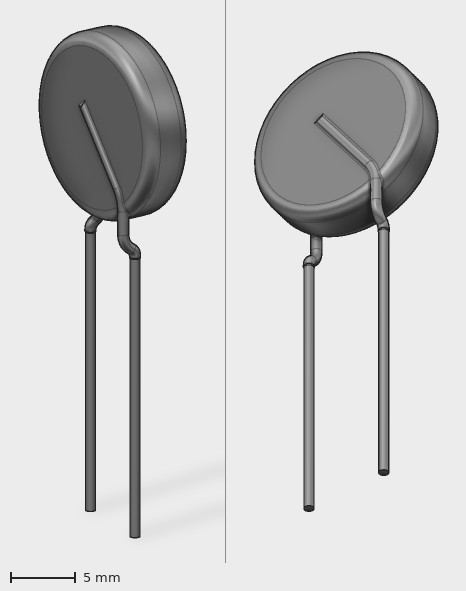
import cadquery as cq
import math

total_height = 40.0
total_depth = 4.5
disc_diameter = 15.0
disc_thickness = 4.0
disc_edge_radius = 1.0

wire_diameter = 0.8
coated_diameter = 0.9
wire_spacing = 1.32
lead_half_pitch = disc_diameter / 4

tail_angle = math.radians(37.5)
tail_end_x = -1.3
tail_bend_radius = 2.7
tail_bend_z = -5.8

s_bend_z = -7.72
s_bend_angle = math.radians(60)
upper_bend_radius = 1.55

coat_overlap = 0.2
coat_taper = 0.1

seam_fillet = 0.2
contact_tolerance = 0.0005

face_y = -disc_thickness / 2
coat_y = -(total_depth - coated_diameter) / 2
wire_y = -wire_spacing / 2
bottom_z = disc_diameter / 2 - total_height


def bend_travel(radius, angle):
    """Sideways and lengthwise travel along a bend that starts out straight."""
    return radius * (1 - math.cos(angle)), radius * math.sin(angle)


tail_bend_side, tail_bend_rise = bend_travel(tail_bend_radius, tail_angle)
tail_start = cq.Vector(lead_half_pitch - tail_bend_side, coat_y, tail_bend_z + tail_bend_rise)
tail_direction = cq.Vector(-math.sin(tail_angle), 0, math.cos(tail_angle))
tail_end_z = tail_start.z + (tail_start.x - tail_end_x) / math.tan(tail_angle)

upper_inward, upper_drop = bend_travel(upper_bend_radius, s_bend_angle)
lower_bend_radius = (wire_y - coat_y - upper_inward) / (1 - math.cos(s_bend_angle))
s_joint_z = s_bend_z - upper_drop
s_bottom_z = s_joint_z - lower_bend_radius * math.sin(s_bend_angle)
coat_bottom_z = s_bottom_z - coat_overlap


def make_disc():
    """Flat disc with rounded rims."""
    disc = cq.Workplane("XZ", origin=(0, -face_y, 0)).circle(disc_diameter / 2).extrude(disc_thickness)
    return disc.faces("|Y").edges().fillet(disc_edge_radius)


def lead_path():
    """Centre line of the coated wire, from the tail down to the end of the coating."""
    slope_reach = coat_y - face_y
    tail_end = cq.Vector(tail_end_x, coat_y, tail_end_z) + tail_direction * slope_reach

    tail_side, tail_rise = bend_travel(tail_bend_radius, tail_angle / 2)
    tail_middle = cq.Vector(lead_half_pitch - tail_side, coat_y, tail_bend_z + tail_rise)

    def upright_point(y, z):
        return cq.Vector(lead_half_pitch, y, z)

    upright_top = upright_point(coat_y, tail_bend_z)
    upright_bottom = upright_point(coat_y, s_bend_z)
    inward, drop = bend_travel(upper_bend_radius, s_bend_angle / 2)
    upper_middle = upright_point(coat_y + inward, s_bend_z - drop)
    s_joint = upright_point(coat_y + upper_inward, s_joint_z)
    outward, rise = bend_travel(lower_bend_radius, s_bend_angle / 2)
    lower_middle = upright_point(wire_y - outward, s_bottom_z + rise)
    s_bottom = upright_point(wire_y, s_bottom_z)

    return cq.Wire.assembleEdges([
        cq.Edge.makeLine(tail_end, tail_start),
        cq.Edge.makeThreePointArc(tail_start, tail_middle, upright_top),
        cq.Edge.makeLine(upright_top, upright_bottom),
        cq.Edge.makeThreePointArc(upright_bottom, upper_middle, s_joint),
        cq.Edge.makeThreePointArc(s_joint, lower_middle, s_bottom),
        cq.Edge.makeLine(s_bottom, upright_point(wire_y, coat_bottom_z)),
    ])


def make_slope_trim():
    """Block that cuts the 45 degree slope on the end of the tail."""
    slope_plane = cq.Plane(
        origin=(tail_end_x, face_y, tail_end_z),
        xDir=tail_direction.cross(cq.Vector(0, 1, 0)),
        normal=tail_direction + cq.Vector(0, -1, 0),
    )
    trim_size = 2 * coated_diameter
    return cq.Workplane(slope_plane).rect(trim_size, trim_size).extrude(trim_size)


def make_lead():
    """Complete lead on the -Y face: coated wire above, bare wire below."""
    path = lead_path()
    section_plane = cq.Plane(origin=path.startPoint(), xDir=(0, 1, 0), normal=tail_direction * -1)
    coated = cq.Workplane(section_plane).circle(coated_diameter / 2).sweep(cq.Workplane(path))
    coated = coated.cut(make_slope_trim())
    coat_step = (coated_diameter - wire_diameter) / 2
    coated = coated.faces("<Z").edges().chamfer(coat_taper, coat_step)

    bare = (
        cq.Workplane("XY", origin=(lead_half_pitch, wire_y, bottom_z))
        .circle(wire_diameter / 2)
        .extrude(coat_bottom_z - bottom_z)
    )
    return coated.union(bare)


def shared_edges(joined, first, second):
    """Edges of the joined body that run where the skins of its two parts meet."""
    skins = [cq.Compound.makeCompound(part.faces().vals()) for part in (first, second)]

    def lies_on_both(edge):
        samples = [cq.Vertex.makeVertex(*edge.positionAt(t).toTuple()) for t in (0.3, 0.5)]
        return all(point.distance(skin) < contact_tolerance for point in samples for skin in skins)

    return [edge for edge in joined.edges().vals() if lies_on_both(edge)]


def attach_lead(body, lead):
    """Join a lead to the disc with a fillet along the whole seam."""
    joined = body.union(lead)
    return joined.newObject(shared_edges(joined, body, lead)).fillet(seam_fillet)


front_lead = make_lead()
back_lead = front_lead.rotate((0, 0, 0), (0, 0, 1), 180)
result = attach_lead(attach_lead(make_disc(), front_lead), back_lead)